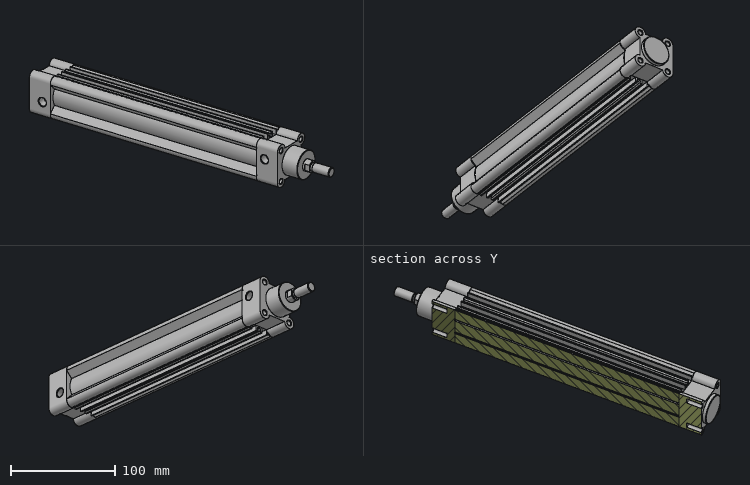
import cadquery as cq

BOSS_LENGTH = 4.0
CAP_LENGTH = 25.0
BARREL_LENGTH = 244.0
COLLAR_LENGTH = 18.0
ROD_STICKOUT = 30.0
BARREL_START = CAP_LENGTH
BARREL_END = BARREL_START + BARREL_LENGTH
FRONT_FACE = BARREL_END + CAP_LENGTH
COLLAR_END = FRONT_FACE + COLLAR_LENGTH

WIDTH = 45.0
HALF_WIDTH = WIDTH / 2
LOBE_RADIUS = 6.25
BOLT_OFFSET = HALF_WIDTH - LOBE_RADIUS
RELIEF_HALF = 16.9

BOSS_DIAMETER = 30.0
BOSS_CHAMFER = 0.5
BOLT_HOLE_DIAMETER = 5.0
BOLT_HOLE_DEPTH = 16.0
PORT_DIAMETER = 8.6
PORT_DEPTH = 9.0
PORT_FROM_FACE = 15.5
COUNTERSINK = 0.6
COUNTERSINK_ANGLE = 45
PORT_RISE = 5.2

BARREL_WIDTH = 44.8
BARREL_HALF = BARREL_WIDTH / 2
TUBE_RADIUS = 18.0
SIDE_RELIEF_HALF = 15.3
FIN_INNER = 4.0
FIN_OUTER = 9.75
MOUTH_HALF = 2.7
LIP_HALF = 1.2
LIP_DEPTH = 1.1
SLOT_HALF = 2.1
SLOT_FLOOR_HALF = 1.4
SLOT_BOTTOM = 18.4
GROOVE_MOUTH = 10.8
GROOVE_LIP = 11.9
GROOVE_WALL = 11.2
GROOVE_TOE = 12.2
GROOVE_RIM = 15.2

ROD_DIAMETER = 12.0
WIPER_DIAMETER = 12.4
WIPER_LENGTH = 2.0
WIPER_TAPER = 1.0
ROD_SHOULDER = 7.5
FLATS_ACROSS = 10.0
NECK_DIAMETER = 8.5
NECK_LENGTH = 2.1
THREAD_DIAMETER = 10.0
THREAD_CHAMFER = 0.75

SIGNS = (-1, 1)
CORNERS = [(BOLT_OFFSET * sy, BOLT_OFFSET * sz) for sy in SIGNS for sz in SIGNS]


def section(x):
    """Workplane across the axis at x, with local axes Y and Z."""
    return cq.Workplane("YZ", origin=(x, 0, 0))


def cap_block(start):
    """Cap with four round bolt lobes, a flat port side at -Y and reliefs on the other three sides."""
    core = section(start).rect(2 * RELIEF_HALF, 2 * RELIEF_HALF).extrude(CAP_LENGTH)
    lobes = section(start).pushPoints(CORNERS).circle(LOBE_RADIUS).extrude(CAP_LENGTH)
    port_side = (
        section(start)
        .center(-(HALF_WIDTH + BOLT_OFFSET) / 2, 0)
        .rect(LOBE_RADIUS, 2 * BOLT_OFFSET)
        .extrude(CAP_LENGTH)
    )
    return core.union(lobes).union(port_side)


def cut_countersunk(cap, plane, points, diameter, depth):
    """Blind holes with a 45 degree edge break, drilled along the normal of `plane`."""
    mouth_radius = diameter / 2 + COUNTERSINK
    for point in points:
        spot = plane.center(*point)
        cap = cap.cut(spot.circle(diameter / 2).extrude(depth))
        cap = cap.cut(spot.circle(mouth_radius).extrude(COUNTERSINK, taper=COUNTERSINK_ANGLE))
    return cap


def cut_bolt_holes(cap, outer_face):
    return cut_countersunk(cap, outer_face, CORNERS, BOLT_HOLE_DIAMETER, BOLT_HOLE_DEPTH)


def cut_port(cap, x, z):
    """Blind air port in the -Y face."""
    inward = cq.Workplane(cq.Plane(origin=(0, -HALF_WIDTH, 0), xDir=(-1, 0, 0), normal=(0, 1, 0)))
    return cut_countersunk(cap, inward, [(-x, z)], PORT_DIAMETER, PORT_DEPTH)


def make_rear_cap():
    boss = section(0).circle(BOSS_DIAMETER / 2).extrude(-BOSS_LENGTH)
    boss = boss.faces("<X").chamfer(BOSS_CHAMFER)
    cap = cap_block(0).union(boss)
    cap = cut_bolt_holes(cap, section(0))
    return cut_port(cap, PORT_FROM_FACE, -PORT_RISE)


def make_front_cap():
    collar = section(FRONT_FACE).circle(BOSS_DIAMETER / 2).extrude(COLLAR_LENGTH)
    collar = collar.faces(">X").chamfer(BOSS_CHAMFER)
    cap = cap_block(BARREL_END).union(collar)
    front_face = cq.Workplane(cq.Plane(origin=(FRONT_FACE, 0, 0), xDir=(0, 1, 0), normal=(-1, 0, 0)))
    cap = cut_bolt_holes(cap, front_face)
    return cut_port(cap, FRONT_FACE - PORT_FROM_FACE, PORT_RISE)


def barrel_prism(points):
    return section(BARREL_START).polyline(points).close().extrude(BARREL_LENGTH)


def side_relief(side):
    """Relief with 45 degree flanks, beside the tube, on the side given by the sign of Y."""
    depth = BARREL_HALF - TUBE_RADIUS / 2
    outer = side * BARREL_HALF
    inner = side * (BARREL_HALF - depth)
    toe = SIDE_RELIEF_HALF - depth
    wedge = barrel_prism(
        [(outer, -SIDE_RELIEF_HALF), (outer, SIDE_RELIEF_HALF), (inner, toe), (inner, -toe)]
    )
    return wedge.cut(section(BARREL_START).circle(TUBE_RADIUS).extrude(BARREL_LENGTH))


def fin_channel(side, end):
    """Flat channel between the centre fins and a corner fin."""
    return (
        section(BARREL_START)
        .center(side * (FIN_INNER + FIN_OUTER) / 2, end * (RELIEF_HALF + BARREL_HALF) / 2)
        .rect(FIN_OUTER - FIN_INNER, BARREL_HALF - RELIEF_HALF)
        .extrude(BARREL_LENGTH)
    )


def centre_slot(end):
    """Slot between the centre fins, narrowed by a pair of pointed lips."""
    half = [
        (MOUTH_HALF, BARREL_HALF),
        (LIP_HALF, BARREL_HALF - LIP_DEPTH),
        (SLOT_HALF, BARREL_HALF - 2 * LIP_DEPTH),
        (SLOT_FLOOR_HALF, SLOT_BOTTOM),
    ]
    outline = half + [(-y, z) for y, z in reversed(half)]
    return barrel_prism([(y, end * z) for y, z in outline])


def corner_groove(side, end):
    """Groove between a corner fin and its lobe, with a 45 degree flank on the lobe."""
    bottom = BARREL_HALF - (GROOVE_RIM - GROOVE_TOE)
    outline = [
        (GROOVE_MOUTH, BARREL_HALF),
        (GROOVE_RIM, BARREL_HALF),
        (GROOVE_TOE, bottom),
        (GROOVE_WALL, bottom),
        (GROOVE_LIP, BARREL_HALF - LIP_DEPTH),
    ]
    return barrel_prism([(side * y, end * z) for y, z in outline])


def make_barrel():
    barrel = section(BARREL_START).rect(BARREL_WIDTH, BARREL_WIDTH).extrude(BARREL_LENGTH)
    barrel = barrel.edges("|X").fillet(BARREL_HALF - BOLT_OFFSET)
    for side in SIGNS:
        barrel = barrel.cut(side_relief(side))
    for end in SIGNS:
        barrel = barrel.cut(centre_slot(end))
        for side in SIGNS:
            barrel = barrel.cut(fin_channel(side, end))
            barrel = barrel.cut(corner_groove(side, end))
    return barrel


def make_rod():
    """Rod end with a tapered wiper ring, wrench flats at -Y and +Y, an undercut and a chamfered thread."""
    straight = WIPER_LENGTH - WIPER_TAPER
    wiper = section(COLLAR_END).circle(WIPER_DIAMETER / 2).extrude(straight)
    taper = (
        section(COLLAR_END + straight)
        .circle(WIPER_DIAMETER / 2)
        .workplane(offset=WIPER_TAPER)
        .circle(ROD_DIAMETER / 2)
        .loft()
    )
    flats_length = ROD_SHOULDER - WIPER_LENGTH
    flats_start = COLLAR_END + WIPER_LENGTH
    flatted = section(flats_start).circle(ROD_DIAMETER / 2).extrude(flats_length)
    flatted = flatted.intersect(section(flats_start).rect(FLATS_ACROSS, ROD_DIAMETER).extrude(flats_length))

    neck_start = COLLAR_END + ROD_SHOULDER
    neck = section(neck_start).circle(NECK_DIAMETER / 2).extrude(NECK_LENGTH)

    thread_start = neck_start + NECK_LENGTH
    thread = section(thread_start).circle(THREAD_DIAMETER / 2)
    thread = thread.extrude(ROD_STICKOUT - ROD_SHOULDER - NECK_LENGTH)
    thread = thread.faces("<X").chamfer((THREAD_DIAMETER - NECK_DIAMETER) / 2)
    thread = thread.faces(">X").chamfer(THREAD_CHAMFER)
    return wiper.union(taper).union(flatted).union(neck).union(thread)


rear_cap = make_rear_cap()
barrel = make_barrel()
front_cap = make_front_cap()
rod = make_rod()

result = cq.Compound.makeCompound([rear_cap.val(), barrel.val(), front_cap.val(), rod.val()])